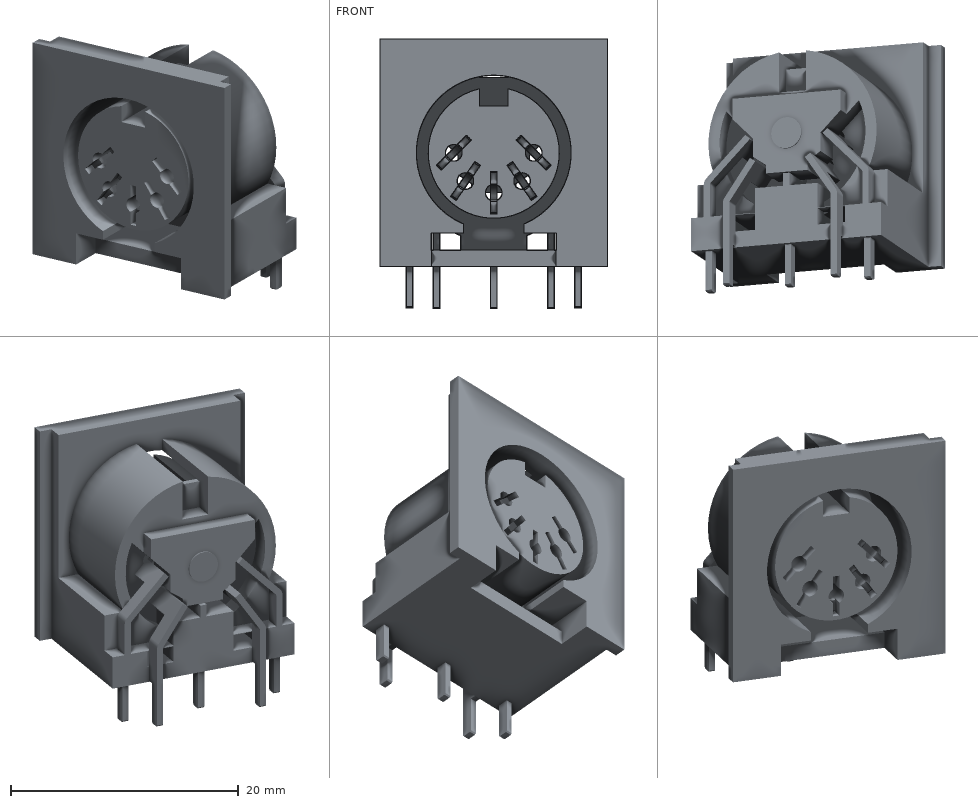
import cadquery as cq
import math

PLATE_SIZE = 20.0
FLANGE_DEPTH = 1.07
PLATE_DEPTH = 2.5
BODY_WIDTH = 17.73
NOTCH_WIDTH = 10.95
NOTCH_HEIGHT = 2.95
NECK_WIDTH = 5.35

AXIS_Z = PLATE_SIZE / 2
SOCKET_RADIUS = 6.8
SHELL_RADIUS = 7.85
SHELL_BACK = 11.83
CORE_RADIUS = 5.75
CORE_FRONT = 0.75
WALL_FRONT = 9.43
WALL_BACK = 10.03
KEY_WIDTH = 2.5
KEY_FLOOR = AXIS_Z + 4.12
SLOT_FLOOR = AXIS_Z + 6.61

BASE_HEIGHT = 6.35
BASE_BACK = 13.49
LEDGE_HEIGHT = 2.99
BAR_HEIGHT = 1.45
BAR_FRONT = 3.2
TONGUE_WIDTH = 5.83
TONGUE_TOP = 5.21
PAD_WIDTH = 10.1
PAD_TOP = 13.5
PAD_BACK = 13.37
PAD_WAIST = 6.3
PAD_FOOT = 3.89
REST_CLEARANCE = 0.12
BOSS_DIAMETER = 2.8

HOLE_CIRCLE_RADIUS = 3.5
HOLE_DIAMETER = 1.45
STRIP_THICKNESS = 0.6
FORK_HALF_WIDTH = 1.87
FORK_FRONT = 1.78
THROAT_RADIUS = 0.66
THROAT_END = 7.58
TIP_CHAMFER = 0.12
BEND_INNER_RADIUS = 0.24
LEG_WIDTH = 1.02
LEG_BOTTOM = PLATE_SIZE - 23.7
BACK_OF_PART = 15.1
NEAR_ARM_FRONT = 12.0
ARM_START = 0.15
OUTER_LEG_BOTTOM = -3.63
INNER_SHOULDER = 0.1

OUTER_SLOT_ANGLE = 45.0
INNER_SLOT_ANGLE = 55.2
OUTER_LEG_X = 7.4
INNER_LEG_X = 5.02


def box(x0, x1, y0, y1, z0, z1):
    return cq.Workplane("XY").box(x1 - x0, y1 - y0, z1 - z0, centered=False).translate((x0, y0, z0))


def centred_box(width, y0, y1, z0, z1):
    return box(-width / 2, width / 2, y0, y1, z0, z1)


def disc(radius, y0, y1, x=0, z=AXIS_Z):
    return cq.Workplane("XZ", origin=(x, y0, z)).circle(radius).extrude(y0 - y1)


def prism(points, y0, y1):
    return cq.Workplane("XZ", origin=(0, y0, 0)).polyline(points).close().extrude(y0 - y1)


def pin_hole(position_angle):
    """X and Z of a pin hole on the hole circle."""
    angle = math.radians(position_angle)
    return (HOLE_CIRCLE_RADIUS * math.cos(angle), AXIS_Z + HOLE_CIRCLE_RADIUS * math.sin(angle))


OUTER_HOLE = pin_hole(180)
INNER_HOLE = pin_hole(225)
CENTRE_HOLE = pin_hole(270)


def fork(hole, slot_angle, spine_back):
    """Two tines with a round throat, and a spine on the outward half that runs back."""
    w, r, c = FORK_HALF_WIDTH, THROAT_RADIUS, TIP_CHAMFER
    tip = FORK_FRONT
    plate = (
        cq.Workplane("XY").workplane(offset=-STRIP_THICKNESS / 2)
        .moveTo(w - c, tip)
        .lineTo(w, tip + c)
        .lineTo(w, WALL_BACK)
        .lineTo(-ARM_START, WALL_BACK)
        .lineTo(-ARM_START, spine_back)
        .lineTo(-w, spine_back)
        .lineTo(-w, tip + c)
        .lineTo(c - w, tip)
        .lineTo(-r - c, tip)
        .lineTo(-r, tip + c)
        .lineTo(-r, THROAT_END - r)
        .threePointArc((0, THROAT_END), (r, THROAT_END - r))
        .lineTo(r, tip + c)
        .lineTo(r + c, tip)
        .close()
        .extrude(STRIP_THICKNESS)
    )
    return plate.rotate((0, 0, 0), (0, 1, 0), -slot_angle).translate((hole[0], 0, hole[1]))


def fork_slot(hole, slot_angle):
    """Cutter for the slot through the core that the fork slides into."""
    length = WALL_BACK - CORE_FRONT
    slot = cq.Workplane("XY").box(2 * FORK_HALF_WIDTH, length, STRIP_THICKNESS)
    slot = slot.translate((0, CORE_FRONT + length / 2, 0))
    return slot.rotate((0, 0, 0), (0, 1, 0), -slot_angle).translate((hole[0], 0, hole[1]))


def bent_arm(hole, slot_angle, leg_x, leg_bottom, y0, y1):
    """Strip that leaves the hole along the slot and bends down into a leg at -leg_x."""
    angle = math.radians(slot_angle)
    half = STRIP_THICKNESS / 2
    along = (math.cos(angle), math.sin(angle))
    normal = (-along[1], along[0])

    def side(offset):
        start = (
            hole[0] + offset * normal[0] - ARM_START * along[0],
            hole[1] + offset * normal[1] - ARM_START * along[1],
        )
        corner_x = -leg_x - offset
        corner_z = start[1] + (corner_x - start[0]) * math.tan(angle)
        return start, (corner_x, corner_z)

    outer_start, outer_corner = side(half)
    inner_start, inner_corner = side(-half)
    arm = prism(
        [
            outer_start,
            outer_corner,
            (outer_corner[0], leg_bottom),
            (inner_corner[0], leg_bottom),
            inner_corner,
            inner_start,
        ],
        y0, y1,
    )
    middle_y = (y0 + y1) / 2
    outer_edge = cq.selectors.NearestToPointSelector((outer_corner[0], middle_y, outer_corner[1]))
    arm = arm.edges(outer_edge).fillet(BEND_INNER_RADIUS + STRIP_THICKNESS)
    inner_edge = cq.selectors.NearestToPointSelector((inner_corner[0], middle_y, inner_corner[1]))
    return arm.edges(inner_edge).fillet(BEND_INNER_RADIUS)


def narrow_leg(contact, arm_y, leg_y, shoulder_z):
    """Trim the strip to the leg width below the shoulder and chamfer the leg tip."""
    reach = PLATE_SIZE
    for y0, y1 in ((arm_y[0], leg_y[0]), (leg_y[1], arm_y[1])):
        if y1 > y0:
            contact = contact.cut(centred_box(reach, y0, y1, LEG_BOTTOM, shoulder_z))
    return contact.faces("<Z").edges("|X").chamfer(TIP_CHAMFER)


def outer_contact():
    arm_y = (NEAR_ARM_FRONT, BASE_BACK)
    leg_y = (NEAR_ARM_FRONT, NEAR_ARM_FRONT + LEG_WIDTH)
    arm = bent_arm(OUTER_HOLE, OUTER_SLOT_ANGLE, OUTER_LEG_X, OUTER_LEG_BOTTOM, *arm_y)
    arm = narrow_leg(arm, arm_y, leg_y, LEDGE_HEIGHT)
    return fork(OUTER_HOLE, OUTER_SLOT_ANGLE, NEAR_ARM_FRONT).union(arm)


def inner_contact():
    arm_y = (BASE_BACK, BACK_OF_PART)
    leg_y = (BACK_OF_PART - LEG_WIDTH, BACK_OF_PART)
    arm = bent_arm(INNER_HOLE, INNER_SLOT_ANGLE, INNER_LEG_X, LEG_BOTTOM, *arm_y)
    arm = narrow_leg(arm, arm_y, leg_y, INNER_SHOULDER)
    return fork(INNER_HOLE, INNER_SLOT_ANGLE, BASE_BACK).union(arm)


def centre_contact():
    arm_y = (NEAR_ARM_FRONT, BASE_BACK)
    leg_y = (NEAR_ARM_FRONT, NEAR_ARM_FRONT + LEG_WIDTH)
    arm = centred_box(STRIP_THICKNESS, *arm_y, LEG_BOTTOM, CENTRE_HOLE[1] - ARM_START)
    arm = narrow_leg(arm, arm_y, leg_y, LEDGE_HEIGHT)
    return fork(CENTRE_HOLE, 90, NEAR_ARM_FRONT).union(arm)


contacts = [centre_contact()]
for side_contact in (outer_contact(), inner_contact()):
    contacts.append(side_contact)
    contacts.append(side_contact.mirror("YZ"))


def base():
    body = centred_box(PLATE_SIZE, 0, FLANGE_DEPTH, 0, PLATE_SIZE)
    body = body.union(centred_box(BODY_WIDTH, FLANGE_DEPTH, PLATE_DEPTH, 0, PLATE_SIZE))
    body = body.union(centred_box(BODY_WIDTH, PLATE_DEPTH, SHELL_BACK, 0, BASE_HEIGHT))
    body = body.union(centred_box(BODY_WIDTH, SHELL_BACK, BASE_BACK, 0, LEDGE_HEIGHT))
    return body.cut(centred_box(NOTCH_WIDTH, 0, BASE_BACK, 0, NOTCH_HEIGHT))


def shell():
    return disc(SHELL_RADIUS, FLANGE_DEPTH, SHELL_BACK)


def core():
    body = disc(CORE_RADIUS, CORE_FRONT, WALL_FRONT)
    body = body.cut(centred_box(KEY_WIDTH, CORE_FRONT, WALL_FRONT, KEY_FLOOR, PLATE_SIZE))
    return body.union(disc(SOCKET_RADIUS, WALL_FRONT, WALL_BACK))


def contact_rest(half_width, top, y0, y1):
    """Block whose stepped lower edge crosses each pin hole square to its contact slot."""
    def edge_z(hole, slot_angle, x):
        return hole[1] + REST_CLEARANCE - (x - hole[0]) / math.tan(math.radians(slot_angle))

    left = [
        (-half_width, top),
        (-half_width, edge_z(OUTER_HOLE, OUTER_SLOT_ANGLE, -half_width)),
        (-PAD_WAIST / 2, edge_z(OUTER_HOLE, OUTER_SLOT_ANGLE, -PAD_WAIST / 2)),
        (-PAD_WAIST / 2, edge_z(INNER_HOLE, INNER_SLOT_ANGLE, -PAD_WAIST / 2)),
        (-PAD_FOOT / 2, edge_z(INNER_HOLE, INNER_SLOT_ANGLE, -PAD_FOOT / 2)),
        (-PAD_FOOT / 2, CENTRE_HOLE[1]),
    ]
    right = [(-x, z) for x, z in reversed(left)]
    return prism(left + right, y0, y1)


def back():
    """Filling of the shell behind the core wall, and the pad and boss that stand behind it."""
    filling = contact_rest(SOCKET_RADIUS, PLATE_SIZE, WALL_BACK, SHELL_BACK)
    filling = filling.intersect(disc(SOCKET_RADIUS, WALL_BACK, SHELL_BACK))
    filling = filling.cut(centred_box(KEY_WIDTH, WALL_BACK, SHELL_BACK, KEY_FLOOR, PLATE_SIZE))
    block = contact_rest(PAD_WIDTH / 2, PAD_TOP, SHELL_BACK, PAD_BACK)
    return filling.union(block).union(disc(BOSS_DIAMETER / 2, SHELL_BACK, BASE_BACK))


def support():
    bar = centred_box(NOTCH_WIDTH, BAR_FRONT, BASE_BACK, 0, BAR_HEIGHT)
    tongue = centred_box(TONGUE_WIDTH, WALL_FRONT, BASE_BACK, BAR_HEIGHT, TONGUE_TOP)
    return bar.union(tongue)


housing = base().union(shell())
housing = housing.cut(disc(SOCKET_RADIUS, 0, SHELL_BACK))
housing = housing.cut(centred_box(NOTCH_WIDTH, 0, WALL_FRONT, 0, NOTCH_HEIGHT))
housing = housing.cut(centred_box(NECK_WIDTH, 0, WALL_FRONT, 0, AXIS_Z))
housing = housing.cut(centred_box(KEY_WIDTH, PLATE_DEPTH, SHELL_BACK, SLOT_FLOOR, PLATE_SIZE))
core_body = core().cut(centred_box(KEY_WIDTH, WALL_FRONT, WALL_BACK, SLOT_FLOOR, PLATE_SIZE))
housing = housing.union(core_body).union(back()).union(support())
for hole_angle in range(180, 361, 45):
    hole_x, hole_z = pin_hole(hole_angle)
    housing = housing.cut(disc(HOLE_DIAMETER / 2, CORE_FRONT, WALL_BACK, hole_x, hole_z))
for hole, slot_angle in ((OUTER_HOLE, OUTER_SLOT_ANGLE), (INNER_HOLE, INNER_SLOT_ANGLE), (CENTRE_HOLE, 90)):
    slot = fork_slot(hole, slot_angle)
    housing = housing.cut(slot).cut(slot.mirror("YZ"))
for contact in contacts:
    housing = housing.cut(contact)

result = cq.Compound.makeCompound([housing.val(), *[contact.val() for contact in contacts]])